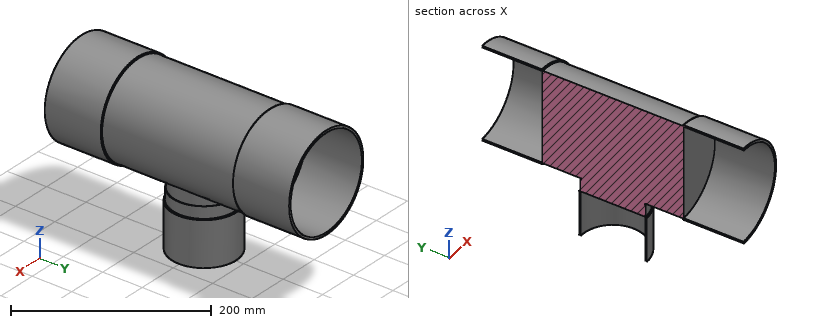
import cadquery as cq

run_length = 310.0
run_body_diameter = 117.0
run_socket_diameter = 120.0
run_bore_diameter = 114.3
run_socket_length = 72.0

branch_reach = 130.0
branch_neck_diameter = 76.0
branch_collar_diameter = 78.0
branch_collar_top = run_socket_diameter / 2
branch_socket_diameter = 81.0
branch_socket_length = 56.0
branch_bore_diameter = branch_neck_diameter

shoulder_bevel = 1.0
socket_floor = shoulder_bevel


def run_cylinder(diameter, start, length):
    """Cylinder along +Y, starting at the given Y."""
    plane = cq.Workplane(cq.Plane((0, start, 0), (1, 0, 0), (0, 1, 0)))
    return plane.circle(diameter / 2).extrude(length)


def branch_cylinder(diameter, bottom, top):
    """Vertical cylinder between two distances below the run axis."""
    plane = cq.Workplane("XY").workplane(offset=-bottom)
    return plane.circle(diameter / 2).extrude(bottom - top)


def make_run():
    """Solid run body with a blind socket at each end."""
    body_length = run_length - 2 * run_socket_length
    run = run_cylinder(run_body_diameter, -body_length / 2, body_length)
    near_end = -run_length / 2
    socket = run_cylinder(run_socket_diameter, near_end, run_socket_length)
    socket = socket.faces(">Y").edges().chamfer(shoulder_bevel)
    bore_depth = run_socket_length - socket_floor
    bore = run_cylinder(run_bore_diameter, near_end, bore_depth)
    socket = socket.cut(bore)
    far_socket = socket.mirror("XZ")
    return run.union(socket).union(far_socket)


def make_branch():
    """Neck, collar and blind socket of the branch."""
    socket_top = branch_reach - branch_socket_length
    neck = branch_cylinder(branch_neck_diameter, branch_collar_top, 0)
    collar = branch_cylinder(branch_collar_diameter, socket_top, branch_collar_top)
    socket = branch_cylinder(branch_socket_diameter, branch_reach, socket_top)
    socket = socket.faces(">Z").edges().chamfer(shoulder_bevel)
    bore_top = socket_top + socket_floor
    bore = branch_cylinder(branch_bore_diameter, branch_reach, bore_top)
    return neck.union(collar).union(socket.cut(bore))


result = make_run().union(make_branch())